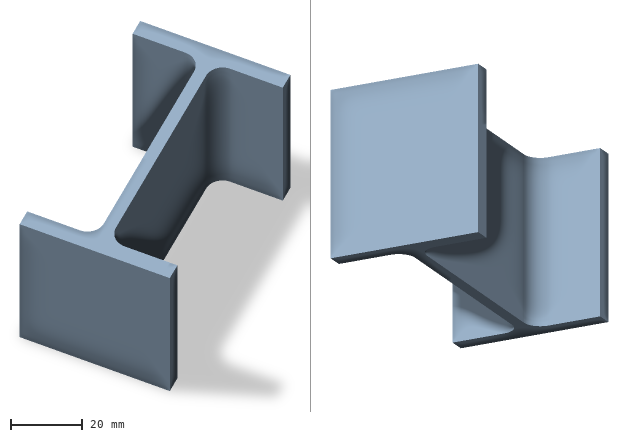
import cadquery as cq

flange_width = 46.0
section_depth = 80.0
beam_length = 50.0

flange_thickness = 5.0
web_thickness = 3.7
root_radius = 5.0

web_depth = section_depth - 2 * flange_thickness
flange_offset = (section_depth - flange_thickness) / 2


def make_flange(y_center):
    """Flat plate across one end of the web."""
    return (
        cq.Workplane("XY")
        .center(0, y_center)
        .rect(flange_width, flange_thickness)
        .extrude(beam_length)
    )


def make_web():
    """Thin plate joining the two flanges."""
    return cq.Workplane("XY").rect(web_thickness, web_depth).extrude(beam_length)


beam = make_web()
for side in (-1, 1):
    beam = beam.union(make_flange(side * flange_offset))

root_corners = cq.selectors.BoxSelector(
    (-web_thickness, -section_depth / 2 + flange_thickness / 2, 0),
    (web_thickness, section_depth / 2 - flange_thickness / 2, beam_length),
)
result = beam.edges("|Z").edges(root_corners).fillet(root_radius)